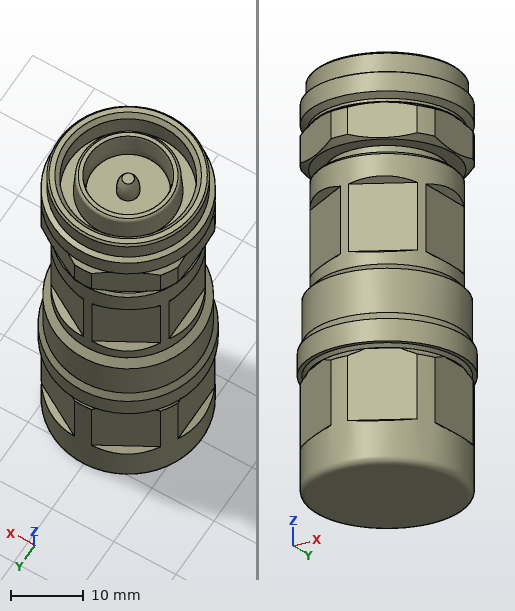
import cadquery as cq
import math

TOTAL_HEIGHT = 61.8

NUT_APOTHEM = 11.0
NUT_RADIUS = 12.0

BASE_FILLET = 1.0
NUT_FLAT_BOTTOM = 6.8
NUT_CORNER_TOP = 16.5
NUT_COLLAR_RADIUS = 11.5
NUT_COLLAR_BOTTOM = 17.05
NUT_TOP = 17.5
SEAM_RADIUS = 11.25

FLANGE_BOTTOM = 18.0
FLANGE_UNDERCUT_RADIUS = 11.75
FLANGE_DIAMETER = 24.8
FLANGE_RADIUS = FLANGE_DIAMETER / 2
FLANGE_TOP = 21.3
BARREL_RADIUS = 11.75
BARREL_BOTTOM = 22.5
BARREL_TOP = 29.1
BODY_RADIUS = 10.6
BODY_TOP = 47.15
BODY_CHAMFER = 0.45
BODY_APOTHEM = 9.5
BODY_FLAT_BOTTOM = 32.7
BODY_FLAT_TOP = 42.75
NECK_RADIUS = 8.5

COUPLING_BOTTOM = 48.8
COUPLING_CORNER_BOTTOM = 49.55
COUPLING_CORNER_TOP = 53.65
COUPLING_TOP = 54.4
COUPLING_FACE_RADIUS = 10.8
GROOVE_RADIUS = 11.0
GROOVE_TOP = 54.8
RIM_FLANGE_BOTTOM = 55.5
RIM_FLANGE_TOP = 58.7
RIM_FLANGE_CHAMFER = 0.3
RIM_RADIUS = 11.2
RIM_CHAMFER = 0.3

SOCKET_RADIUS = 9.4
SOCKET_CHAMFER = 0.7
SOCKET_DEPTH = 4.2

SLEEVE_RADIUS = 7.55
SLEEVE_NOSE_RADIUS = 7.3
SLEEVE_RIM_RADIUS = 6.85
SLEEVE_NOSE_DEPTH = 0.6
SLEEVE_NOSE_BULGE = 0.09
SLEEVE_BORE_MOUTH = 6.25
SLEEVE_BORE_THROAT = 6.1
SLEEVE_BORE_ROOT = 5.8
SLEEVE_MOUTH_DEPTH = 0.45
SLEEVE_TAPER_DEPTH = 3.0

PIN_RADIUS = 1.6
PIN_NOSE_RADIUS = 1.5
PIN_TIP_RADIUS = 0.85
PIN_TIP_DEPTH = 0.85
PIN_NOSE_DEPTH = 2.15
PIN_SHOULDER_DEPTH = 3.2

HEX_SIDES = 6
CUTTER_CLEARANCE = 0.6
FLAT_END_ANGLE = 30.0


def turned(points):
    """Revolve a closed (radius, height) outline about Z."""
    return cq.Workplane("XZ").polyline(points).close().revolve(360, (0, 0, 0), (0, 1, 0))


def flat_cutters(apothem, outer_radius, bottom, top):
    """Six cutters for wrench flats facing +X and every 60 degrees, with sloped ends."""
    reach = outer_radius + CUTTER_CLEARANCE - apothem
    run_out = reach * math.tan(math.radians(FLAT_END_ANGLE))
    outline = [
        (apothem, bottom),
        (apothem + reach, bottom - run_out),
        (apothem + reach, top + run_out),
        (apothem, top),
    ]
    cutter = cq.Workplane("XZ").polyline(outline).close().extrude(outer_radius, both=True)
    pitch = 360 / HEX_SIDES
    return [cutter.rotate((0, 0, 0), (0, 0, 1), side * pitch) for side in range(HEX_SIDES)]


def cut_all(shape, cutters):
    """Cut every cutter out of the shape."""
    for cutter in cutters:
        shape = shape.cut(cutter)
    return shape


def make_back_nut():
    """Round base, hexagonal upper part and a tapered collar under the body."""
    nut = turned([
        (0, 0),
        (NUT_RADIUS, 0),
        (NUT_RADIUS, NUT_CORNER_TOP),
        (NUT_COLLAR_RADIUS, NUT_COLLAR_BOTTOM),
        (SEAM_RADIUS, NUT_TOP),
        (0, NUT_TOP),
    ])
    nut = nut.faces("<Z").edges().fillet(BASE_FILLET)
    flats = flat_cutters(NUT_APOTHEM, NUT_RADIUS, NUT_FLAT_BOTTOM, NUT_TOP)
    return cut_all(nut, flats)


def make_body_blank():
    """Flange, barrel, clamping section and neck."""
    shoulder_bottom = BARREL_TOP + BARREL_RADIUS - BODY_RADIUS
    return turned([
        (0, NUT_TOP),
        (SEAM_RADIUS, NUT_TOP),
        (FLANGE_UNDERCUT_RADIUS, FLANGE_BOTTOM),
        (FLANGE_RADIUS, FLANGE_BOTTOM),
        (FLANGE_RADIUS, FLANGE_TOP),
        (BARREL_RADIUS, BARREL_BOTTOM),
        (BARREL_RADIUS, BARREL_TOP),
        (BODY_RADIUS, shoulder_bottom),
        (BODY_RADIUS, BODY_TOP - BODY_CHAMFER),
        (BODY_RADIUS - BODY_CHAMFER, BODY_TOP),
        (NECK_RADIUS, BODY_TOP),
        (NECK_RADIUS, COUPLING_BOTTOM),
        (0, COUPLING_BOTTOM),
    ])


def make_coupling_hex():
    """Hexagon of the coupling nut, chamfered at both ends."""
    blank = turned([
        (0, COUPLING_BOTTOM),
        (COUPLING_FACE_RADIUS, COUPLING_BOTTOM),
        (NUT_RADIUS, COUPLING_CORNER_BOTTOM),
        (NUT_RADIUS, COUPLING_CORNER_TOP),
        (COUPLING_FACE_RADIUS, COUPLING_TOP),
        (0, COUPLING_TOP),
    ])
    flats = flat_cutters(NUT_APOTHEM, NUT_RADIUS, COUPLING_BOTTOM, COUPLING_TOP)
    return cut_all(blank, flats)


def make_coupling_rim():
    """Grooved, flanged rim of the coupling nut with the open socket."""
    floor = TOTAL_HEIGHT - SOCKET_DEPTH
    return turned([
        (0, COUPLING_TOP),
        (GROOVE_RADIUS, COUPLING_TOP),
        (GROOVE_RADIUS, GROOVE_TOP),
        (NUT_RADIUS, RIM_FLANGE_BOTTOM),
        (NUT_RADIUS, RIM_FLANGE_TOP - RIM_FLANGE_CHAMFER),
        (RIM_RADIUS, RIM_FLANGE_TOP),
        (RIM_RADIUS, TOTAL_HEIGHT - RIM_CHAMFER),
        (RIM_RADIUS - RIM_CHAMFER, TOTAL_HEIGHT),
        (SOCKET_RADIUS + SOCKET_CHAMFER, TOTAL_HEIGHT),
        (SOCKET_RADIUS, TOTAL_HEIGHT - SOCKET_CHAMFER),
        (SOCKET_RADIUS, floor),
        (0, floor),
    ])


def make_sleeve():
    """Contact sleeve with a rounded nose and a tapered bore, standing on the socket floor."""
    floor = TOTAL_HEIGHT - SOCKET_DEPTH
    nose_bottom = TOTAL_HEIGHT - SLEEVE_NOSE_DEPTH
    taper_bottom = TOTAL_HEIGHT - SLEEVE_TAPER_DEPTH
    nose_middle = (
        (SLEEVE_NOSE_RADIUS + SLEEVE_RIM_RADIUS) / 2 + SLEEVE_NOSE_BULGE,
        (nose_bottom + TOTAL_HEIGHT) / 2 + SLEEVE_NOSE_BULGE,
    )
    return (
        cq.Workplane("XZ")
        .moveTo(SLEEVE_BORE_ROOT, floor)
        .lineTo(SLEEVE_RADIUS, floor)
        .lineTo(SLEEVE_NOSE_RADIUS, nose_bottom)
        .threePointArc(nose_middle, (SLEEVE_RIM_RADIUS, TOTAL_HEIGHT))
        .lineTo(SLEEVE_BORE_MOUTH, TOTAL_HEIGHT)
        .lineTo(SLEEVE_BORE_THROAT, TOTAL_HEIGHT - SLEEVE_MOUTH_DEPTH)
        .lineTo(SLEEVE_BORE_ROOT, taper_bottom)
        .close()
        .revolve(360, (0, 0, 0), (0, 1, 0))
    )


def make_pin():
    """Centre pin with a rounded, flat-ended nose."""
    base = TOTAL_HEIGHT - SOCKET_DEPTH
    shoulder = TOTAL_HEIGHT - PIN_SHOULDER_DEPTH
    nose_middle = (PIN_NOSE_RADIUS, TOTAL_HEIGHT - PIN_NOSE_DEPTH)
    tip = TOTAL_HEIGHT - PIN_TIP_DEPTH
    return (
        cq.Workplane("XZ")
        .moveTo(0, base)
        .lineTo(PIN_RADIUS, base)
        .lineTo(PIN_RADIUS, shoulder)
        .threePointArc(nose_middle, (PIN_TIP_RADIUS, tip))
        .lineTo(0, tip)
        .close()
        .revolve(360, (0, 0, 0), (0, 1, 0))
    )


def make_connector():
    """Main body with its wrench flats, coupling nut, contact sleeve and pin in one piece."""
    flats = flat_cutters(BODY_APOTHEM, BODY_RADIUS, BODY_FLAT_BOTTOM, BODY_FLAT_TOP)
    body = cut_all(make_body_blank(), flats)
    for section in (make_coupling_hex(), make_coupling_rim(), make_sleeve(), make_pin()):
        body = body.union(section)
    return body


back_nut = make_back_nut()
connector = make_connector()

result = cq.Compound.makeCompound([back_nut.val(), connector.val()])